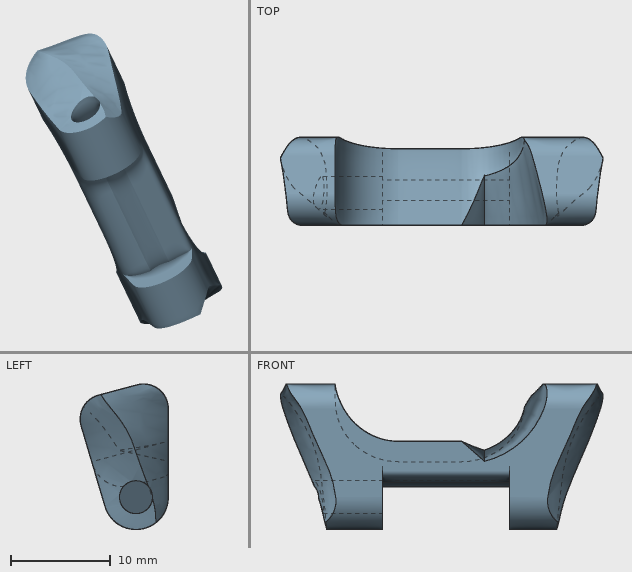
import cadquery as cq
import math


PIVOT_ROUND = 3.25
HEAD_ROUND = 2.5
TOP_HEIGHT = 11.35
DEPTH = 8.85
TILT = math.radians(15)
FRONT_Y = -PIVOT_ROUND
REAR_Y = FRONT_Y + DEPTH
BLANK_HALF_LENGTH = 20.0

NOTCH_WIDTH = 12.7
NOTCH_CENTRE_X = 0.42
UNDERSIDE_HEIGHT = 1.27
UNDERSIDE_FRONT_ROUND = 0.6
UNDERSIDE_REAR_ROUND = 3.25
PIN_DIAMETER = 3.3

SADDLE_RADIUS = 6.35
SADDLE_FLAT = 6.33
SADDLE_CENTRE_X = -1.17
SADDLE_HEIGHT = 5.61

SCOOP_AXIS_Z = 11.9
SCOOP_AXIS_X = 2.25
SCOOP_FRONT_RADIUS = 8.55
SCOOP_TAPER = 0.22
SCOOP_START_X = 4.28

MARGIN = 1.0

FLARE_FRONT_Y = -4.0
FLARE_REAR_Y = 6.5
FLARE_SECTIONS = [
    (-3.6, 9.0, -2.1, 11.45, 11.4),
    (-2.4, 9.3, -2.0, 11.75, 11.45),
    (-0.1, 9.8, -1.65, 12.35, 11.5),
    (1.4, 10.17, -1.12, 12.9, 11.5),
    (3.7, 11.18, -0.28, 13.9, 11.77),
    (7.5, 13.07, 1.41, 15.44, 13.6),
    (9.65, 14.36, 3.1, 16.11, 14.7),
    (11.6, 15.25, 3.9, 15.9, 14.5),
]


def on_round(centre, radius, angle):
    """Point on a round in the YZ plane, angle measured from +Y towards +Z."""
    return (centre[0] + radius * math.cos(angle), centre[1] + radius * math.sin(angle))


def side_blank(x_start, x_end):
    """Prism of the side outline between two X positions."""
    foot = (0.0, 0.0)
    head_z = TOP_HEIGHT - HEAD_ROUND
    front = (FRONT_Y + HEAD_ROUND, head_z)
    rear_y = REAR_Y - HEAD_ROUND
    rear = (rear_y, head_z - (rear_y - front[0]) * math.tan(TILT))

    top_normal = math.pi / 2 - TILT
    front_middle = (math.pi + top_normal) / 2
    lean = math.atan2(rear[0], rear[1])
    reach = math.hypot(rear[0], rear[1])
    rear_normal = -lean + math.asin((PIVOT_ROUND - HEAD_ROUND) / reach)
    rear_middle = (top_normal + rear_normal) / 2
    foot_middle = (rear_normal - math.pi) / 2

    return (
        cq.Workplane("YZ", origin=(x_start, 0, 0))
        .moveTo(FRONT_Y, 0)
        .lineTo(FRONT_Y, front[1])
        .threePointArc(on_round(front, HEAD_ROUND, front_middle), on_round(front, HEAD_ROUND, top_normal))
        .lineTo(*on_round(rear, HEAD_ROUND, top_normal))
        .threePointArc(on_round(rear, HEAD_ROUND, rear_middle), on_round(rear, HEAD_ROUND, rear_normal))
        .lineTo(*on_round(foot, PIVOT_ROUND, rear_normal))
        .threePointArc(on_round(foot, PIVOT_ROUND, foot_middle), (FRONT_Y, 0))
        .close()
        .extrude(x_end - x_start)
    )


def web(x_start, x_end):
    """Bridge between the legs: the side outline cut off by a sloping, rounded underside."""
    y_near = FRONT_Y - MARGIN
    y_far = REAR_Y + MARGIN
    z_low = -PIVOT_ROUND - MARGIN
    waste = (
        cq.Workplane("YZ", origin=(x_start, 0, 0))
        .polyline([
            (y_near, z_low),
            (y_far, z_low),
            (y_far, UNDERSIDE_HEIGHT - y_far * math.tan(TILT)),
            (y_near, UNDERSIDE_HEIGHT - y_near * math.tan(TILT)),
        ])
        .close()
        .extrude(x_end - x_start)
    )
    bridge = side_blank(x_start, x_end).cut(waste)
    bridge = bridge.edges("|X").edges("<Z").fillet(UNDERSIDE_REAR_ROUND)
    front_corner = (NOTCH_CENTRE_X, FRONT_Y, UNDERSIDE_HEIGHT - FRONT_Y * math.tan(TILT))
    return bridge.edges(cq.selectors.NearestToPointSelector(front_corner)).fillet(UNDERSIDE_FRONT_ROUND)


def pin_hole(x_end):
    """Hole from the left end up to the inner face of the right leg."""
    return (
        cq.Workplane("YZ", origin=(-BLANK_HALF_LENGTH, 0, 0))
        .circle(PIN_DIAMETER / 2)
        .extrude(x_end + BLANK_HALF_LENGTH)
    )


def saddle():
    """Flat-bottomed trough with a quarter round at each side, running along the tilt."""
    half_flat = SADDLE_FLAT / 2
    half_width = half_flat + SADDLE_RADIUS
    height = 2 * SADDLE_RADIUS
    bend = SADDLE_RADIUS * math.sin(math.pi / 4)
    plane = cq.Plane(
        origin=(SADDLE_CENTRE_X, FRONT_Y, SADDLE_HEIGHT),
        xDir=(1, 0, 0),
        normal=(0, -math.cos(TILT), math.sin(TILT)),
    )
    return (
        cq.Workplane(plane)
        .moveTo(-half_flat, 0)
        .lineTo(half_flat, 0)
        .threePointArc((half_flat + bend, SADDLE_RADIUS - bend), (half_width, SADDLE_RADIUS))
        .lineTo(half_width, height)
        .lineTo(-half_width, height)
        .lineTo(-half_width, SADDLE_RADIUS)
        .threePointArc((-half_flat - bend, SADDLE_RADIUS - bend), (-half_flat, 0))
        .close()
        .extrude(2 * DEPTH, both=True)
    )


def scoop():
    """Cone narrowing to the rear, limited to the right of its start plane."""
    length = DEPTH + 2 * MARGIN
    front_radius = SCOOP_FRONT_RADIUS + MARGIN * SCOOP_TAPER
    cone = cq.Solid.makeCone(
        front_radius,
        front_radius - length * SCOOP_TAPER,
        length,
        cq.Vector(SCOOP_AXIS_X, FRONT_Y - MARGIN, SCOOP_AXIS_Z),
        cq.Vector(0, 1, 0),
    )
    size = 4 * SCOOP_FRONT_RADIUS
    block = cq.Workplane("XY").box(size, size, size)
    right_side = block.translate((SCOOP_START_X + size / 2, 0, SCOOP_AXIS_Z))
    return right_side.intersect(cq.Workplane(obj=cone))


def scoop_lead_in():
    """Tetrahedron blending the end of the saddle flat down into the start of the scoop."""
    flat_end_x = SADDLE_CENTRE_X + SADDLE_FLAT / 2
    saddle_offset = SCOOP_START_X - flat_end_x
    scoop_offset = SCOOP_START_X - SCOOP_AXIS_X
    round_rise = SADDLE_RADIUS - math.sqrt(SADDLE_RADIUS**2 - saddle_offset**2)
    saddle_z = SADDLE_HEIGHT + round_rise / math.cos(TILT)
    front_z = SCOOP_AXIS_Z - math.sqrt(SCOOP_FRONT_RADIUS**2 - scoop_offset**2)
    run = (saddle_z - front_z) / (math.tan(TILT) + SCOOP_TAPER)
    tip = cq.Vector(flat_end_x, FRONT_Y, SADDLE_HEIGHT)
    low = cq.Vector(SCOOP_START_X, FRONT_Y, front_z)
    rear = cq.Vector(SCOOP_START_X, FRONT_Y + run, saddle_z - run * math.tan(TILT))
    high = cq.Vector(SCOOP_START_X, FRONT_Y, saddle_z + MARGIN)
    triangles = [(tip, low, high), (tip, rear, low), (tip, high, rear), (low, rear, high)]
    wires = [cq.Wire.makePolygon(list(corners), close=True) for corners in triangles]
    faces = [cq.Face.makeFromWires(wire) for wire in wires]
    return cq.Workplane(obj=cq.Solid.makeSolid(cq.Shell.makeShell(faces)))


def flared_envelope():
    """Smooth body whose ridged, outward-leaning ends trim both legs."""
    sections = []
    for height, front_width, ridge_y, ridge_width, rear_width in FLARE_SECTIONS:
        right = [(front_width, FLARE_FRONT_Y), (ridge_width, ridge_y), (rear_width, FLARE_REAR_Y)]
        left = [(-x, y) for x, y in reversed(right)]
        corners = [cq.Vector(x, y, height) for x, y in right + left]
        sections.append(cq.Wire.makePolygon(corners, close=True))
    return cq.Workplane(obj=cq.Solid.makeLoft(sections))


notch_left = NOTCH_CENTRE_X - NOTCH_WIDTH / 2
notch_right = NOTCH_CENTRE_X + NOTCH_WIDTH / 2
left_leg = side_blank(-BLANK_HALF_LENGTH, notch_left)
right_leg = side_blank(notch_right, BLANK_HALF_LENGTH)

body = left_leg.union(web(notch_left, notch_right)).union(right_leg)
body = body.cut(saddle()).cut(scoop()).cut(scoop_lead_in())
body = body.cut(pin_hole(notch_right))
result = body.intersect(flared_envelope())